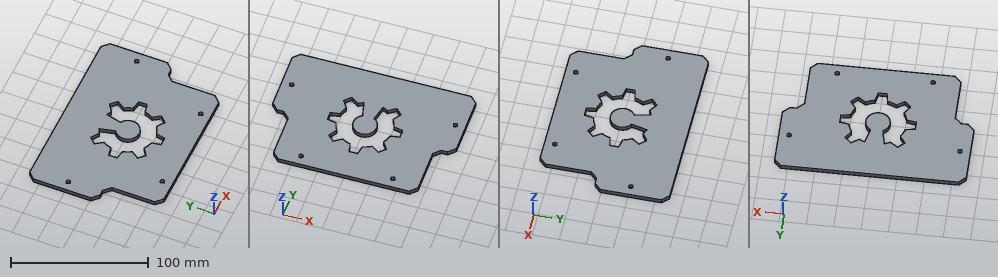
import cadquery as cq
import math

width = 140.0
height = 99.5
thickness = 3.5
lower_width = 110.0
upper_height = 55.5
chamfer = 5.0

hole_diameter = 3.2
upper_hole_spacing = 124.9
upper_hole_drop = 29.4
lower_hole_spacing = 70.0
lower_hole_drop = 91.8

gear_drop = 49.4
root_radius = 21.0
tooth_tip = 27.6
tooth_tip_width = 6.6
tooth_root_width = 9.2
tooth_count = 8
disk_radius = 9.0
neck_disk_width = 9.0
neck_root_width = 14.5

top = height / 2
gear_center_y = top - gear_drop


def chord_distance(radius, chord):
    """Distance from a circle's center to a chord of the given length."""
    return math.sqrt(radius**2 - (chord / 2) ** 2)


def make_plate():
    half = width / 2
    lower_half = lower_width / 2
    step = top - upper_height
    right_side = [
        (half - chamfer, top),
        (half, top - chamfer),
        (half, step + chamfer),
        (half - chamfer, step),
        (lower_half + chamfer, step),
        (lower_half, step - chamfer),
        (lower_half, chamfer - top),
        (lower_half - chamfer, -top),
    ]
    left_side = [(-x, y) for x, y in reversed(right_side)]
    return cq.Workplane("XY").polyline(right_side + left_side).close().extrude(thickness)


def make_tooth_space(angle):
    root = chord_distance(root_radius, tooth_root_width)
    outline = [
        (0, 0),
        (root, -tooth_root_width / 2),
        (tooth_tip, -tooth_tip_width / 2),
        (tooth_tip, tooth_tip_width / 2),
        (root, tooth_root_width / 2),
    ]
    tooth = cq.Workplane("XY").polyline(outline).close().extrude(thickness)
    return tooth.rotate((0, 0, 0), (0, 0, 1), angle)


def make_neck():
    inner = chord_distance(disk_radius, neck_disk_width)
    outer = chord_distance(root_radius, neck_root_width)
    outline = [
        (0, 0),
        (neck_disk_width / 2, inner),
        (neck_root_width / 2, outer),
        (0, tooth_tip),
        (-neck_root_width / 2, outer),
        (-neck_disk_width / 2, inner),
    ]
    return cq.Workplane("XY").polyline(outline).close().extrude(thickness)


def make_gear_cutout():
    cutout = cq.Workplane("XY").circle(root_radius).extrude(thickness)
    for index in range(1, tooth_count):
        cutout = cutout.union(make_tooth_space(90 + index * 360 / tooth_count))
    disk = cq.Workplane("XY").circle(disk_radius).extrude(thickness)
    return cutout.cut(disk).cut(make_neck()).translate((0, gear_center_y, 0))


def make_holes():
    centers = [
        (side * spacing / 2, top - drop)
        for spacing, drop in (
            (upper_hole_spacing, upper_hole_drop),
            (lower_hole_spacing, lower_hole_drop),
        )
        for side in (-1, 1)
    ]
    return cq.Workplane("XY").pushPoints(centers).circle(hole_diameter / 2).extrude(thickness)


result = make_plate().cut(make_gear_cutout()).cut(make_holes())